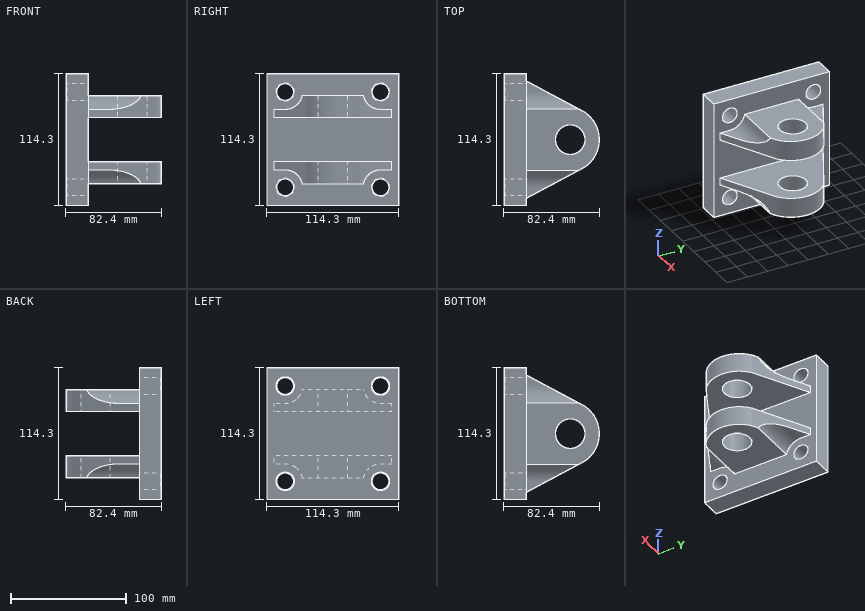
import cadquery as cq

plate_size = 114.3
plate_thickness = 19.1

bolt_offset = 41.3
bolt_diameter = 14.4
bolt_chamfer = 0.8

lug_thickness = 19.1
lug_gap = 38.2
lug_root_half_width = 50.9
lug_nose_half_width = 23.7
lug_nose_start_x = 70.1
lug_tip_x = 82.4
pin_x = 57.2
pin_diameter = 25.4

clearance_radius = 15.1

lug_inner_z = lug_gap / 2


def make_plate():
    plate = cq.Workplane("XY").box(
        plate_thickness, plate_size, plate_size, centered=(False, True, True)
    )
    bolt_holes = (
        cq.Workplane("YZ")
        .rect(2 * bolt_offset, 2 * bolt_offset, forConstruction=True)
        .vertices()
        .circle(bolt_diameter / 2)
        .extrude(plate_thickness)
    )
    plate = plate.cut(bolt_holes)
    return plate.faces("<X").edges("%CIRCLE").chamfer(bolt_chamfer)


def make_lug(bottom_z):
    """Lug tapering from the plate to a nose rounded by a single arc."""
    return (
        cq.Workplane("XY", origin=(0, 0, bottom_z))
        .moveTo(plate_thickness, -lug_root_half_width)
        .lineTo(lug_nose_start_x, -lug_nose_half_width)
        .threePointArc((lug_tip_x, 0), (lug_nose_start_x, lug_nose_half_width))
        .lineTo(plate_thickness, lug_root_half_width)
        .close()
        .extrude(lug_thickness)
    )


def make_clearance(side_y, side_z):
    """Round channel along a bolt axis, opened flat towards the plate's side edge."""
    length = lug_tip_x - plate_thickness
    channel = (
        cq.Workplane("YZ", origin=(plate_thickness, 0, 0))
        .center(side_y * bolt_offset, side_z * bolt_offset)
        .circle(clearance_radius)
        .extrude(length)
    )
    side_opening = (
        cq.Workplane("YZ", origin=(plate_thickness, 0, 0))
        .center(side_y * (bolt_offset + clearance_radius / 2), side_z * bolt_offset)
        .rect(clearance_radius, 2 * clearance_radius)
        .extrude(length)
    )
    return channel.union(side_opening)


lugs = make_lug(lug_inner_z).union(make_lug(-lug_inner_z - lug_thickness))
for side_y in (-1, 1):
    for side_z in (-1, 1):
        lugs = lugs.cut(make_clearance(side_y, side_z))

pin_hole = (
    cq.Workplane("XY", origin=(pin_x, 0, -plate_size / 2))
    .circle(pin_diameter / 2)
    .extrude(plate_size)
)

result = make_plate().union(lugs).cut(pin_hole)